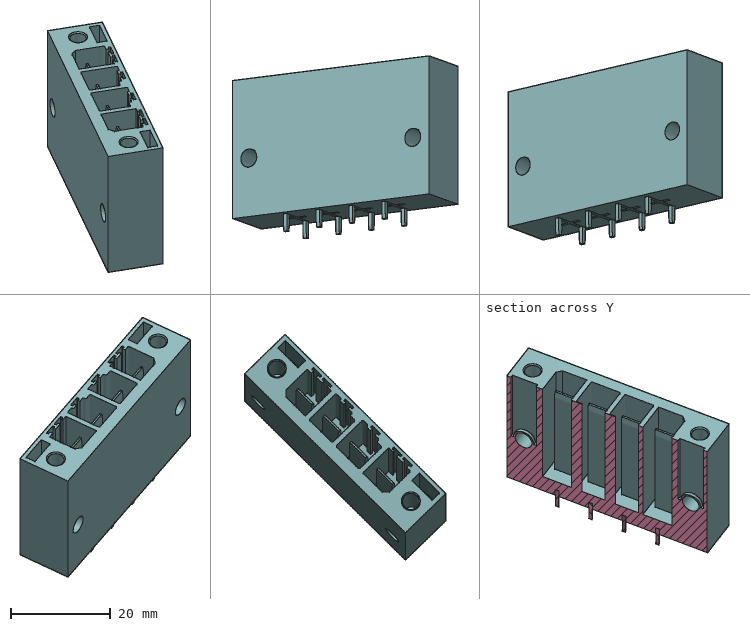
import cadquery as cq
import math

pitch = 7.62
contact_count = 4
housing_length = 6 * pitch
housing_depth = 11.4
housing_height = 28.3

mount_x = housing_length / 2 - pitch / 2
mount_z = 12.0
mount_hole_diameter = 3.7
entry_y = -0.4
entry_diameter = 3.3
entry_chamfer = 0.25
slot_width = 5.7
slot_depth = 2.1
slot_y = 3.8
sleeve_diameter = 4.7

outer_half_width = 3.25
middle_half_width = 3.3
pocket_front_y = -3.15
pocket_floor_z = 4.0
land_y = 3.98
pocket_chamfer = 1.0
corner_radius = 0.25

outer_shoulder_y = 3.85
inner_shoulder_y = 4.13

step_x = 1.8
high_step_y = 4.45
low_step_y = 3.3
high_step_radius = 0.2

groove_offset = 1.47
groove_top_y = 4.97
groove_head_width = 2.3
groove_head_depth = 0.43
groove_stem_width = 1.24

sheet_thickness = 0.8
blade_width = 4.4
blade_recess = 2.9
blade_bevel = 0.2
blade_bevel_height = 1.5
crossbar_height = 1.5
leg_spacing = pitch
leg_width = 1.0
leg_length = 3.5
leg_taper_height = 1.0
leg_taper = 0.17


def rounded_outline(corners):
    """Closed outline from (x, y, radius) corners that are all right angles; radius 0 is sharp."""
    outline = cq.Workplane("XY", origin=(0, 0, pocket_floor_z))
    midpoint_share = 1 - math.sqrt(0.5)
    for index, (x, y, radius) in enumerate(corners):
        before = corners[index - 1]
        after = corners[(index + 1) % len(corners)]
        corner = cq.Vector(x, y)
        to_before = (cq.Vector(before[0], before[1]) - corner).normalized()
        to_after = (cq.Vector(after[0], after[1]) - corner).normalized()
        draw_to = outline.moveTo if index == 0 else outline.lineTo
        arrive = corner + to_before * radius
        outline = draw_to(arrive.x, arrive.y)
        if radius > 0:
            middle = corner + (to_before + to_after) * (radius * midpoint_share)
            leave = corner + to_after * radius
            outline = outline.threePointArc((middle.x, middle.y), (leave.x, leave.y))
    return outline.close()


def extrude_to_top(outline):
    return outline.extrude(housing_height - pocket_floor_z)


def groove_block(x, start_y, width):
    """Upright block from start_y to the rear of the coding grooves."""
    depth = groove_top_y - start_y
    base = cq.Workplane("XY", origin=(x, start_y + depth / 2, pocket_floor_z))
    return extrude_to_top(base.rect(width, depth))


def coding_groove(x):
    """T-shaped groove that opens into the pocket through its stem."""
    head = groove_block(x, groove_top_y - groove_head_depth, groove_head_width)
    stem = groove_block(x, low_step_y, groove_stem_width)
    return head.union(stem)


def outer_pocket():
    """Pocket of the leftmost contact: one bevelled corner and two coding grooves."""
    stem_half = groove_stem_width / 2
    outline = rounded_outline([
        (-outer_half_width, pocket_front_y, 0),
        (outer_half_width, pocket_front_y, 0),
        (outer_half_width, inner_shoulder_y, 0),
        (groove_offset + stem_half, inner_shoulder_y, 0),
        (groove_offset + stem_half, land_y, 0),
        (-groove_offset - stem_half, land_y, 0),
        (-groove_offset - stem_half, outer_shoulder_y, 0),
        (-outer_half_width, outer_shoulder_y, corner_radius),
    ])
    pocket = extrude_to_top(outline)
    pocket = pocket.edges("|Z and <X and <Y").chamfer(pocket_chamfer)
    return pocket.union(coding_groove(-groove_offset)).union(coding_groove(groove_offset))


def middle_pocket():
    """Pocket of a middle contact: a stepped rear wall with one coding groove."""
    outline = rounded_outline([
        (-middle_half_width, pocket_front_y, corner_radius),
        (middle_half_width, pocket_front_y, corner_radius),
        (middle_half_width, low_step_y, corner_radius),
        (step_x, low_step_y, corner_radius),
        (step_x, land_y, corner_radius),
        (-step_x, land_y, high_step_radius),
        (-step_x, high_step_y, high_step_radius),
        (-middle_half_width, high_step_y, high_step_radius),
    ])
    return extrude_to_top(outline).union(coding_groove(0))


def mount_cutter(x):
    """Through hole along Y with the chamfered entry hole and slot that end on its sleeve."""
    rear_face = cq.Workplane("XZ", origin=(x, housing_depth / 2, mount_z))
    through = rear_face.circle(mount_hole_diameter / 2).extrude(housing_depth)
    sleeve = rear_face.circle(sleeve_diameter / 2).extrude(housing_depth)
    rise = housing_height - mount_z
    entry = cq.Workplane("XY", origin=(x, entry_y, mount_z)).circle(entry_diameter / 2).extrude(rise)
    countersink = (
        cq.Workplane("XY", origin=(x, entry_y, housing_height))
        .circle(entry_diameter / 2 + entry_chamfer)
        .workplane(offset=-entry_chamfer)
        .circle(entry_diameter / 2)
        .loft()
    )
    slot = (
        cq.Workplane("XY", origin=(x, slot_y, mount_z))
        .rect(slot_width, slot_depth)
        .extrude(rise)
    )
    return slot.union(entry).union(countersink).cut(sleeve).union(through)


def leg(y, x):
    """Solder leg below the housing, tapered towards its tip."""
    half = leg_width / 2
    tip_half = half - leg_taper
    return (
        cq.Workplane("YZ", origin=(x - sheet_thickness / 2, y, 0))
        .polyline([
            (-half, 0),
            (-half, leg_taper_height - leg_length),
            (-tip_half, -leg_length),
            (tip_half, -leg_length),
            (half, leg_taper_height - leg_length),
            (half, 0),
        ])
        .close()
        .extrude(sheet_thickness)
    )


def contact(x):
    """Blade with a bevelled top edge, joined to its two legs by a crossbar."""
    blade_top = housing_height - blade_recess
    half = sheet_thickness / 2
    blade = (
        cq.Workplane("YZ", origin=(x - blade_width / 2, 0, 0))
        .polyline([
            (-half, 0),
            (-half, blade_top - blade_bevel_height),
            (-half + blade_bevel, blade_top),
            (half - blade_bevel, blade_top),
            (half, blade_top - blade_bevel_height),
            (half, 0),
        ])
        .close()
        .extrude(blade_width)
    )
    crossbar = cq.Workplane("XY", origin=(x, 0, 0)).box(
        sheet_thickness, leg_spacing + leg_width, crossbar_height, centered=(True, True, False)
    )
    body = blade.union(crossbar)
    for side in (-1, 1):
        body = body.union(leg(side * leg_spacing / 2, x))
    return body


contact_xs = [(index - (contact_count - 1) / 2) * pitch for index in range(contact_count)]
contacts = [contact(x) for x in contact_xs]

housing = cq.Workplane("XY").box(
    housing_length, housing_depth, housing_height, centered=(True, True, False)
)
for side in (-1, 1):
    housing = housing.cut(mount_cutter(side * mount_x))

left_pocket = outer_pocket()
pockets = [left_pocket, middle_pocket(), middle_pocket(), left_pocket.mirror("YZ")]
for x, pocket in zip(contact_xs, pockets):
    housing = housing.cut(pocket.translate((x, 0, 0)))
for body in contacts:
    housing = housing.cut(body)

result = cq.Compound.makeCompound([housing.val(), *[body.val() for body in contacts]])